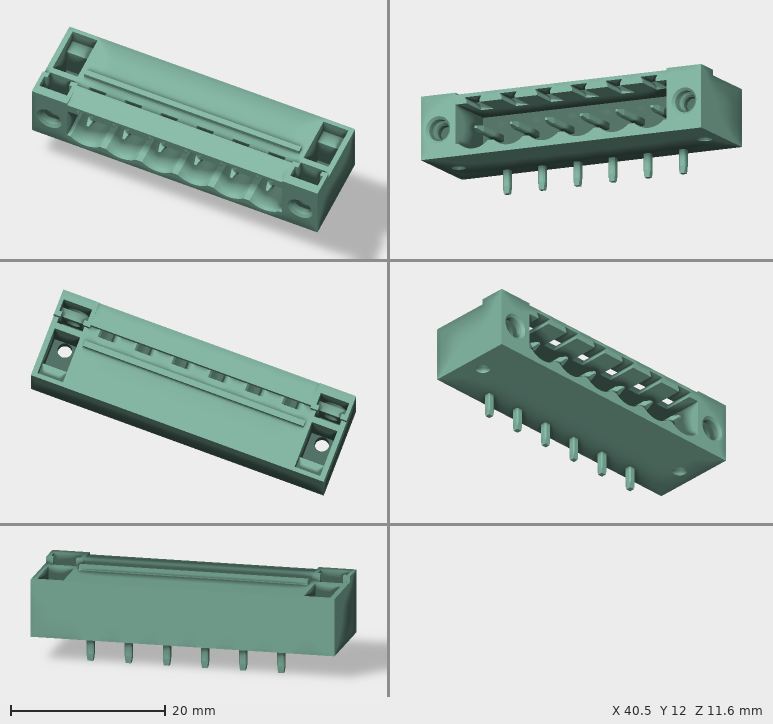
import cadquery as cq
length = 40.5
depth = 12.0
front_height = 8.45
deck_height = 7.7
end_step_y = 3.52

pin_count = 6
pin_pitch = 5.08
pin_axis_z = 3.8
pin_width = 0.97
pin_edge_chamfer = 0.15
pin_tip_y = 0.8
contact_tip_width = 0.32
contact_taper = 1.4
leg_y = 10.05
leg_length = 3.15
leg_tip_width = 0.7
leg_taper = 0.97
pin_places = [(i - (pin_count - 1) / 2) * pin_pitch for i in range(pin_count)]

cavity_width = 30.5
cavity_depth = 8.1
cavity_floor = 1.6
cavity_ceiling = 6.86
scallop_radius = 3.05
scallop_half_width = (scallop_radius**2 - (pin_axis_z - cavity_floor) ** 2) ** 0.5

roof_front_height = 8.18
roof_peak_y = 2.85
roof_rear_y = 3.2

notch_top_width = 2.43
notch_neck_width = 1.85
notch_neck_z = 7.2
notch_depth = 4.15

rail_front_y = 5.22
rail_rear_y = 6.25
rail_foot = 0.12
rail_height = 0.65

end_x = 17.77
nut_width = 3.93
nut_front_y = 1.65
nut_rear_y = roof_peak_y
nut_hole_radius = 0.95
nut_countersink_radius = 1.2
slot_front_y = 1.2
slot_rear_y = 4.25
slot_neck_width = 3.08
slot_rear_width = 3.52
screw_mouth_radius = 1.8
screw_hole_radius = 1.437
nut_bottom = pin_axis_z - nut_width / 2
well_width = 3.52
well_front_y = 5.05
well_rear_y = 11.4
well_floor = 1.6
ledge_front_y = 9.5
ledge_height = 5.63
board_hole_y = 6.05
board_hole_diameter = 1.9


def block(width, x, y_range, z_range):
    """Box of a given width centred on x, between two Y and two Z values."""
    y0, y1 = y_range
    z0, z1 = z_range
    return cq.Workplane("XY").box(width, y1 - y0, z1 - z0, centered=(True, False, False)).translate((x, y0, z0))


def cylinder_along_y(x, radius, y0, y1):
    return cq.Workplane("XZ", origin=(x, y0, pin_axis_z)).circle(radius).extrude(y0 - y1)


def cone_along_y(x, mouth_radius, hole_radius, y0):
    """45 degree countersink whose mouth is at y0."""
    rise = mouth_radius - hole_radius
    direction = cq.Vector(0, 1, 0)
    return cq.Workplane(cq.Solid.makeCone(mouth_radius, hole_radius, rise, cq.Vector(x, y0, pin_axis_z), direction))


def tapered_bar(bar_length, tip_width, taper):
    """Upright square bar with chamfered edges and a tapered tip at Z = 0."""
    tip = (
        cq.Workplane("XY").rect(tip_width, tip_width)
        .workplane(offset=taper).rect(pin_width, pin_width).loft(ruled=True)
    )
    shank = block(pin_width, 0, (-pin_width / 2, pin_width / 2), (taper, bar_length))
    column = block(pin_width, 0, (-pin_width / 2, pin_width / 2), (0, bar_length))
    return tip.union(shank).intersect(column.edges("|Z").chamfer(pin_edge_chamfer))


def make_pin(x):
    leg = tapered_bar(leg_length + pin_axis_z + pin_width / 2, leg_tip_width, leg_taper)
    leg = leg.translate((x, leg_y, -leg_length))
    contact = tapered_bar(leg_y + pin_width / 2 - pin_tip_y, contact_tip_width, contact_taper)
    contact = contact.rotate((0, 0, 0), (1, 0, 0), -90).translate((x, pin_tip_y, pin_axis_z))
    return leg.union(contact)


def make_nut(x):
    z_range = (nut_bottom, nut_bottom + nut_width)
    nut = block(nut_width, x, (nut_front_y, nut_rear_y), z_range)
    nut = nut.cut(cylinder_along_y(x, nut_hole_radius, nut_front_y, nut_rear_y))
    return nut.cut(cone_along_y(x, nut_countersink_radius, nut_hole_radius, nut_front_y))


def housing_shell():
    """Outer shape: full-length base, raised end blocks and the sloping roof between them."""
    body = block(length, 0, (0, depth), (0, deck_height))
    body = body.union(block(length, 0, (0, end_step_y), (deck_height, front_height)))
    body = body.cut(block(cavity_width, 0, (0, end_step_y), (deck_height, front_height)))
    roof = (
        cq.Workplane("YZ", origin=(-cavity_width / 2, 0, 0))
        .moveTo(0, deck_height)
        .lineTo(0, roof_front_height)
        .lineTo(roof_peak_y, front_height)
        .lineTo(roof_rear_y, front_height)
        .lineTo(roof_rear_y, deck_height)
        .close()
        .extrude(cavity_width)
    )
    rail = (
        cq.Workplane("YZ", origin=(-cavity_width / 2, 0, 0))
        .moveTo(rail_front_y, deck_height)
        .line(rail_foot, rail_foot)
        .lineTo(rail_front_y + rail_foot, deck_height + rail_height)
        .lineTo(rail_rear_y - rail_foot, deck_height + rail_height)
        .lineTo(rail_rear_y - rail_foot, deck_height + rail_foot)
        .lineTo(rail_rear_y, deck_height)
        .close()
        .extrude(cavity_width)
    )
    return body.union(roof).union(rail)


def scallop(x):
    """Round trough in the cavity floor, concentric with the pin."""
    return (
        cq.Workplane("XZ", origin=(x, 0, 0))
        .moveTo(-scallop_half_width, cavity_floor)
        .threePointArc((0, pin_axis_z - scallop_radius), (scallop_half_width, cavity_floor))
        .close()
        .extrude(-cavity_depth)
    )


def coding_notch(x):
    """Dovetail groove from the cavity ceiling up to the deck."""
    half_neck = notch_neck_width / 2
    half_top = notch_top_width / 2
    outline = [
        (-half_neck, cavity_ceiling),
        (-half_neck, notch_neck_z),
        (-half_top, deck_height),
        (half_top, deck_height),
        (half_neck, notch_neck_z),
        (half_neck, cavity_ceiling),
    ]
    return cq.Workplane("XZ", origin=(x, 0, 0)).polyline(outline).close().extrude(-notch_depth)


def nut_slot(x):
    """Stepped slot, open at the top, that receives the nut, with the screw entry in front of it."""
    z_range = (nut_bottom, front_height)
    slot = block(nut_width, x, (slot_front_y, nut_rear_y), z_range)
    slot = slot.union(block(slot_neck_width, x, (nut_rear_y, end_step_y), z_range))
    slot = slot.union(block(slot_rear_width, x, (end_step_y, slot_rear_y), z_range))
    slot = slot.union(cylinder_along_y(x, screw_hole_radius, 0, slot_front_y))
    return slot.union(cone_along_y(x, screw_mouth_radius, screw_hole_radius, 0))


def board_screw_well(x):
    """Open well with a raised ledge at the back and a hole through its floor."""
    well = block(well_width, x, (well_front_y, well_rear_y), (well_floor, deck_height))
    well = well.cut(block(well_width, x, (ledge_front_y, well_rear_y), (well_floor, ledge_height)))
    hole = cq.Workplane("XY").center(x, board_hole_y).circle(board_hole_diameter / 2).extrude(deck_height)
    return well.union(hole)


pins = [make_pin(x) for x in pin_places]
nuts = [make_nut(x) for x in (-end_x, end_x)]

housing = housing_shell().cut(block(cavity_width, 0, (0, cavity_depth), (cavity_floor, cavity_ceiling)))
for place, pin in zip(pin_places, pins):
    housing = housing.cut(scallop(place)).cut(coding_notch(place)).cut(pin)
for place in (-end_x, end_x):
    housing = housing.cut(nut_slot(place)).cut(board_screw_well(place))

result = cq.Compound.makeCompound(
    [housing.val(), *[pin.val() for pin in pins], *[nut.val() for nut in nuts]]
)